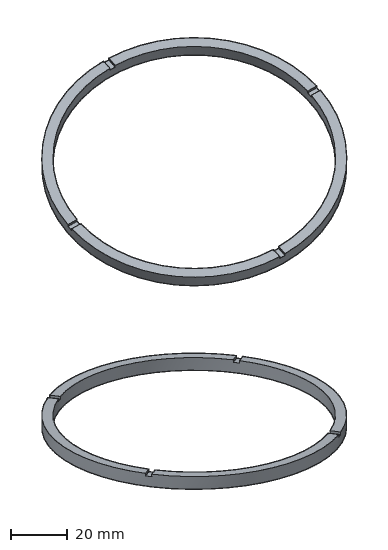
import cadquery as cq

outer_diameter = 108.0
inner_diameter = 100.0
height = 5.0

notch_width = 2.3
notch_depth = 1.0

ring = (
    cq.Workplane("XY")
    .circle(outer_diameter / 2)
    .circle(inner_diameter / 2)
    .extrude(height)
)


def notch_bar(length_x, length_y):
    """Bar across the whole ring, cutting two opposite notches in its top face."""
    return (
        cq.Workplane("XY")
        .workplane(offset=height - notch_depth)
        .rect(length_x, length_y)
        .extrude(notch_depth)
    )


result = (
    ring
    .cut(notch_bar(outer_diameter, notch_width))
    .cut(notch_bar(notch_width, outer_diameter))
)